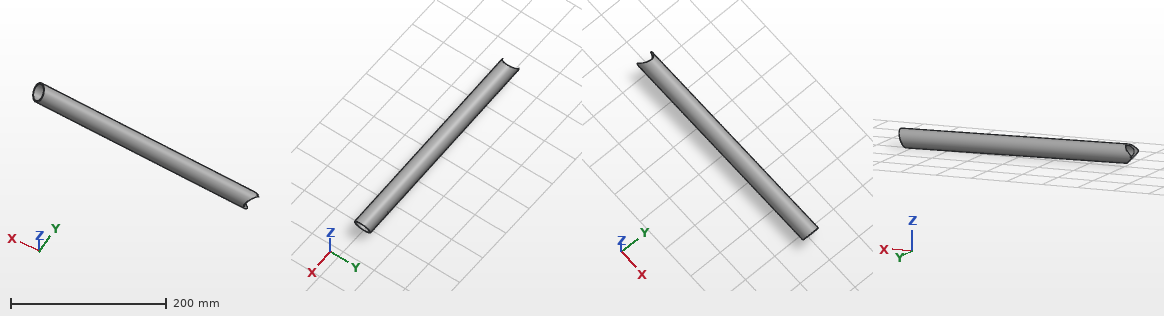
import cadquery as cq

LENGTH = 330.0
OUTER_DIAMETER = 25.5
WALL = 2.0
RISE_Y = 3.5
DROP_Z = 4.5
OVERRUN = 33.0

SADDLE_LEAN = 9.0
SADDLE_BOTTOM_X = 12.2
SADDLE_SHIFT_Y = -0.13
NOTCH_DEPTH = 2.5
NOTCH_HEIGHT = 4.0
NOTCH_DROP = 1.5

MITRE_ANGLE = 19.0

radius = OUTER_DIAMETER / 2
tip_x = SADDLE_BOTTOM_X - radius
axis = cq.Vector(LENGTH, RISE_Y, -DROP_Z)
direction = axis.normalized()


def tube_stock():
    """Slightly sloping tube, overlong at both ends."""
    start = direction * -OVERRUN
    plane = cq.Plane(origin=start.toTuple(), xDir=(0, 1, 0), normal=direction.toTuple())
    section = cq.Workplane(plane).circle(radius).circle(radius - WALL)
    return section.extrude(LENGTH + 2 * OVERRUN)


def saddle_cutter():
    """Crossing cylinder, with the stock beyond its centre also removed."""
    height = 4 * OUTER_DIAMETER
    cylinder = cq.Workplane("XY").circle(radius).extrude(height / 2, both=True)
    beyond = cq.Workplane("XY").box(2 * OVERRUN, height, height).translate((-OVERRUN, 0, 0))
    cutter = cylinder.rotate((0, 0, 0), (1, 0, 0), -SADDLE_LEAN).union(beyond)
    return cutter.translate((tip_x, SADDLE_SHIFT_Y, 0))


def tip_notch():
    """V notch in the +Y tip of the saddle."""
    half = NOTCH_HEIGHT / 2
    profile = [
        (tip_x, half - NOTCH_DROP),
        (tip_x + NOTCH_DEPTH, -NOTCH_DROP),
        (tip_x, -half - NOTCH_DROP),
    ]
    return cq.Workplane("XZ").polyline(profile).close().extrude(-OUTER_DIAMETER)


def mitre_cutter():
    """Block below and beyond the slanted end plane."""
    tip_z = radius - DROP_Z
    size = 4 * OUTER_DIAMETER
    block = cq.Workplane("XY").box(size, size, size).translate((size / 2, 0, 0))
    tilted = block.rotate((0, 0, 0), (0, 1, 0), MITRE_ANGLE)
    return tilted.translate((tip_x + LENGTH, 0, tip_z))


result = tube_stock().cut(saddle_cutter()).cut(tip_notch()).cut(mitre_cutter())